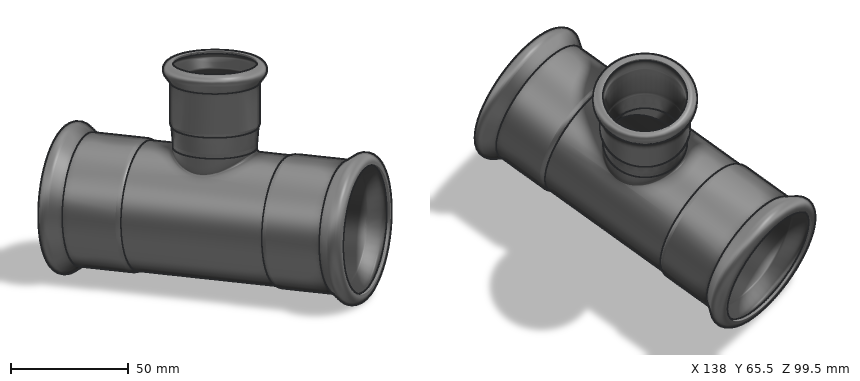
import cadquery as cq
import math

run_length = 138.0
run_diameter = 56.0
run_bore = 53.0
run_socket_diameter = 57.5
run_socket_bore = 54.4
run_mouth = 55.0
run_bead_diameter = 65.5
run_bead_radius = 3.7
run_flare_depth = 10.6
run_socket_depth = 34.8
run_step_length = 2.2

branch_top = 66.7
branch_diameter = 36.0
branch_bore = 33.0
branch_socket_diameter = 38.4
branch_socket_bore = 35.3
branch_mouth = 35.9
branch_bead_diameter = 44.4
branch_bead_radius = 3.2
branch_flare_depth = 8.4
branch_socket_depth = 26.3
branch_step_length = 1.7
branch_neck_diameter = 37.2
branch_taper_end = 31.2

seam_height = 29.3
saddle_fillet = 1.0

wall = (run_diameter - run_bore) / 2
lip_round = 0.3
inner_step_length = wall


def flare_geometry(bead_diameter, bead_radius, flare_depth, socket_diameter):
    """Bead circle centre radius, and the angle of the normal of the cone tangent to the bead."""
    centre_radius = bead_diameter / 2 - bead_radius
    run_in = flare_depth - bead_radius
    drop = centre_radius - socket_diameter / 2
    normal_angle = math.acos(bead_radius / math.hypot(run_in, drop)) - math.atan2(drop, run_in)
    return centre_radius, normal_angle


def arc_point(centre, radius, angle):
    return centre[0] + radius * math.cos(angle), centre[1] + radius * math.sin(angle)


def arc(profile, centre, radius, start_angle, end_angle):
    """Arc about a centre, drawn on from the current point of the profile at the start angle."""
    middle = arc_point(centre, radius, (start_angle + end_angle) / 2)
    return profile.threePointArc(middle, arc_point(centre, radius, end_angle))


def socket_outside(bead_diameter, bead_radius, flare_depth, socket_diameter):
    """Outer half profile (depth from the end face, radius), from the axis to the start of the socket."""
    centre_radius, normal_angle = flare_geometry(bead_diameter, bead_radius, flare_depth, socket_diameter)
    profile = cq.Workplane("XY").lineTo(0, centre_radius)
    profile = arc(profile, (bead_radius, centre_radius), bead_radius, math.pi, normal_angle)
    return profile.lineTo(flare_depth, socket_diameter / 2)


def socket_inside(bead_diameter, bead_radius, flare_depth, socket_diameter, socket_bore, mouth):
    """Inner half profile, from the axis over the rounded lip and seal groove to the socket bore."""
    centre_radius, normal_angle = flare_geometry(bead_diameter, bead_radius, flare_depth, socket_diameter)
    thickness = (socket_diameter - socket_bore) / 2
    lip_radius = mouth / 2 + lip_round
    profile = cq.Workplane("XY").lineTo(0, lip_radius)
    profile = arc(profile, (lip_round, lip_radius), lip_round, -math.pi, -math.pi / 2)
    profile = profile.lineTo(thickness - lip_round, mouth / 2)
    profile = arc(profile, (thickness - lip_round, lip_radius), lip_round, -math.pi / 2, 0)
    profile = profile.lineTo(thickness, centre_radius)
    profile = arc(profile, (bead_radius, centre_radius), bead_radius - thickness, math.pi, normal_angle)

    outer_corner = (flare_depth, socket_diameter / 2)
    cone_side = normal_angle - math.pi
    profile = profile.lineTo(*arc_point(outer_corner, thickness, cone_side))
    return arc(profile, outer_corner, thickness, cone_side, -math.pi / 2)


def outer_step(profile, depth, length, socket_diameter, pipe_diameter):
    """Shoulder that rounds off tangent to the socket and meets the pipe at an edge."""
    return profile.lineTo(depth, socket_diameter / 2).tangentArcPoint(
        (depth + length, pipe_diameter / 2), relative=False
    )


def inner_step(profile, middle_depth, socket_bore, pipe_bore):
    """Pipe stop: an S-shaped step made of two equal tangent arcs."""
    start = middle_depth - inner_step_length / 2
    middle = (middle_depth, (socket_bore + pipe_bore) / 4)
    end = (start + inner_step_length, pipe_bore / 2)
    profile = profile.lineTo(start, socket_bore / 2).tangentArcPoint(middle, relative=False)
    return profile.tangentArcPoint(end, relative=False)


def revolve_profile(profile):
    return profile.close().revolve(360, (0, 0, 0), (1, 0, 0))


def run_solid(profile, pipe_diameter):
    """Full-length run from the half profile of one end, mirrored about the middle plane."""
    profile = profile.lineTo(run_length / 2, pipe_diameter / 2).lineTo(run_length / 2, 0)
    half = revolve_profile(profile).translate((-run_length / 2, 0, 0))
    return half.union(half.mirror("YZ"))


def branch_solid(profile, pipe_diameter):
    """Branch from its top face down through the taper and the straight end to the seam."""
    seam_depth = branch_top - seam_height
    profile = profile.lineTo(branch_top - branch_taper_end, pipe_diameter / 2)
    profile = profile.lineTo(seam_depth, pipe_diameter / 2).lineTo(seam_depth, 0)
    return revolve_profile(profile).rotate((0, 0, 0), (0, 1, 0), 90).translate((0, 0, branch_top))


run_shape = (run_bead_diameter, run_bead_radius, run_flare_depth, run_socket_diameter)
run_outside = outer_step(
    socket_outside(*run_shape), run_socket_depth, run_step_length, run_socket_diameter, run_diameter
)
run_inside = inner_step(
    socket_inside(*run_shape, run_socket_bore, run_mouth),
    run_socket_depth + run_step_length / 2,
    run_socket_bore,
    run_bore,
)
collar = cq.Workplane("XY").circle(branch_diameter / 2).extrude(seam_height)
collar_bore = cq.Workplane("XY").circle(branch_bore / 2).extrude(seam_height)
saddle_box = cq.selectors.BoxSelector(
    (-branch_diameter, -branch_diameter, 0), (branch_diameter, branch_diameter, run_diameter / 2)
)
tee = run_solid(run_outside, run_diameter).union(collar)
tee = tee.edges(saddle_box).edges("not(%CIRCLE or %LINE)").fillet(saddle_fillet)
tee = tee.cut(run_solid(run_inside, run_bore)).cut(collar_bore)

branch_shape = (branch_bead_diameter, branch_bead_radius, branch_flare_depth, branch_socket_diameter)
branch_neck_bore = branch_neck_diameter - 2 * wall
branch_outside = outer_step(
    socket_outside(*branch_shape),
    branch_socket_depth,
    branch_step_length,
    branch_socket_diameter,
    branch_neck_diameter,
)
branch_inside = inner_step(
    socket_inside(*branch_shape, branch_socket_bore, branch_mouth),
    branch_socket_depth + branch_step_length / 2,
    branch_socket_bore,
    branch_neck_bore,
)
branch = branch_solid(branch_outside, branch_diameter).cut(branch_solid(branch_inside, branch_bore))

result = cq.Compound.makeCompound([tee.solids().val(), branch.solids().val()])